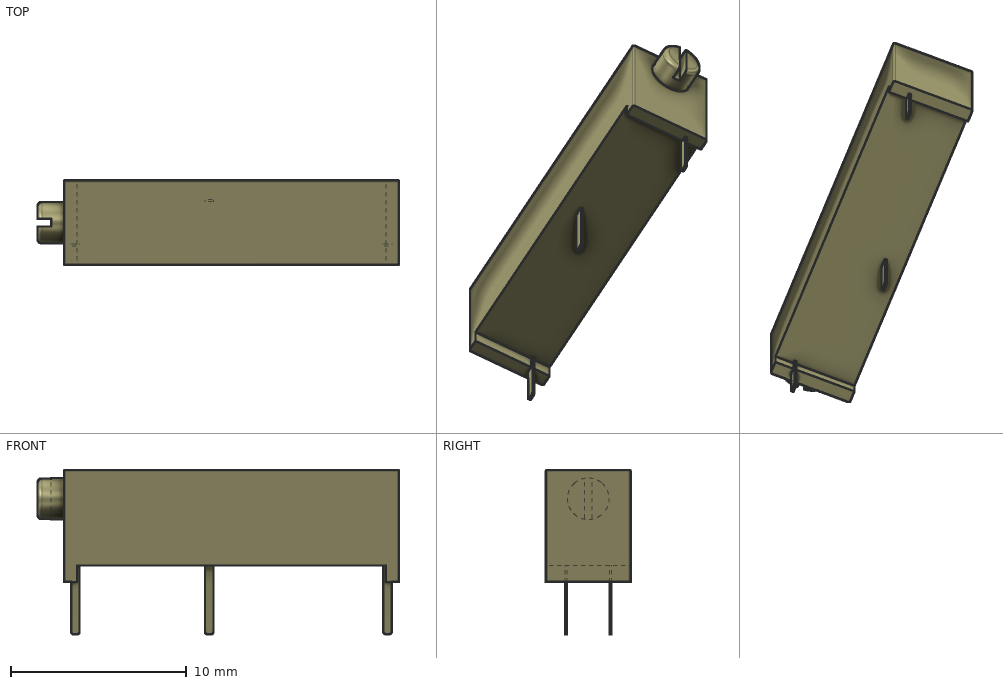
import cadquery as cq


overall_length = 20.57
screw_length = 1.5
body_length = overall_length - screw_length
body_width = 4.83
body_height = 6.38
edge_radius = 0.1
foot_length = 0.75
foot_height = 0.93

screw_diameter = 2.37
screw_axis_below_top = 1.65
screw_rim_radius = 0.27
slot_width = 0.43
slot_depth = 0.78

overall_height = 9.35
pin_drop = overall_height - body_height
pin_width = 0.5
pin_thickness = 0.12
pin_tip_radius = 0.16
pin_row_spacing = 2.53
pin_end_inset = 0.65
middle_pin_offset = 7.61
pin_embed = 0.2


def make_body():
    body = (
        cq.Workplane("XY")
        .box(body_length, body_width, body_height, centered=(False, True, False))
        .edges("|Z or >Z")
        .fillet(edge_radius)
    )
    recess = (
        cq.Workplane("XY")
        .box(body_length - 2 * foot_length, body_width, foot_height, centered=(False, True, False))
        .translate((foot_length, 0, 0))
    )
    return body.cut(recess)


def make_screw():
    screw_axis_height = body_height - screw_axis_below_top
    screw = (
        cq.Workplane("YZ", origin=(-screw_length, 0, screw_axis_height))
        .circle(screw_diameter / 2)
        .extrude(screw_length)
        .faces("<X")
        .edges()
        .fillet(screw_rim_radius)
    )
    slot = (
        cq.Workplane("XY")
        .box(slot_depth, slot_width, screw_diameter, centered=(False, True, True))
        .translate((-screw_length, 0, screw_axis_height))
    )
    return screw.cut(slot)


def make_pin(x, y):
    pin_length = pin_drop + foot_height + pin_embed
    return (
        cq.Workplane("XY")
        .box(pin_width, pin_thickness, pin_length, centered=(True, True, False))
        .edges("|Y and <Z")
        .fillet(pin_tip_radius)
        .translate((x, y, -pin_drop))
    )


row_y = pin_row_spacing / 2
pin_positions = [
    (pin_end_inset, -row_y),
    (pin_end_inset + middle_pin_offset, row_y),
    (body_length - pin_end_inset, -row_y),
]

result = make_body().union(make_screw())
for pin_x, pin_y in pin_positions:
    result = result.union(make_pin(pin_x, pin_y))